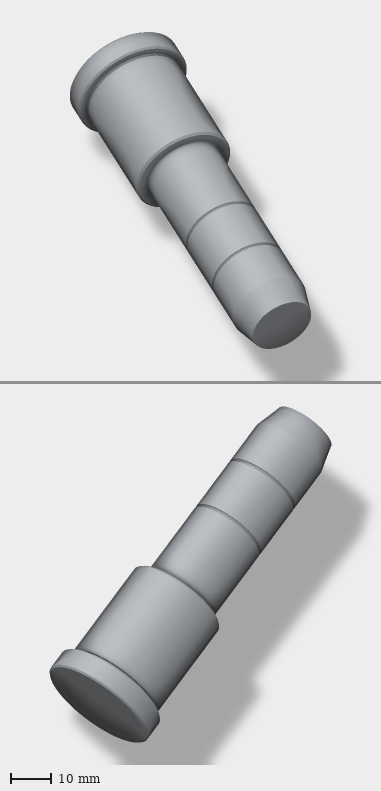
import cadquery as cq

length = 91.0

head_radius = 30.0 / 2
head_length = 6.0
head_chamfer = 0.5

body_radius = 26.0 / 2
body_end = 35.0
body_chamfer = 0.55
relief_width = 0.9
relief_depth = 0.5

shank_radius = 20.0 / 2
shank_root_fillet = 0.5
groove_centers = (57.0, 71.9)
groove_radius = 0.5
taper_start = 84.0
tip_radius = 8.1


def cylinder(start, end, radius):
    """Solid cylinder along X between two positions."""
    return cq.Workplane("YZ", origin=(start, 0, 0)).circle(radius).extrude(end - start)


def make_head():
    return cylinder(0, head_length, head_radius).edges().chamfer(head_chamfer)


def make_body():
    """Body with a chamfered front edge and a concave relief behind the head."""
    relief_end = head_length + relief_width
    relief_radius = body_radius - relief_depth
    relief_arc_radius = (relief_width**2 + relief_depth**2) / (2 * relief_depth)
    return (
        cq.Workplane("XY")
        .moveTo(head_length, 0)
        .lineTo(head_length, body_radius)
        .radiusArc((relief_end, relief_radius), -relief_arc_radius)
        .lineTo(relief_end, body_radius)
        .lineTo(body_end - body_chamfer, body_radius)
        .lineTo(body_end, body_radius - body_chamfer)
        .lineTo(body_end, 0)
        .close()
        .revolve(360, (0, 0, 0), (1, 0, 0))
    )


def make_shank():
    """Shank flaring into the body by a concave fillet and narrowing to the tip."""
    fillet_end = body_end + shank_root_fillet
    profile = (
        cq.Workplane("XY")
        .moveTo(body_end, 0)
        .lineTo(body_end, shank_radius + shank_root_fillet)
        .radiusArc((fillet_end, shank_radius), -shank_root_fillet)
    )
    for center in groove_centers:
        profile = (
            profile.lineTo(center - groove_radius, shank_radius)
            .threePointArc((center, shank_radius - groove_radius), (center + groove_radius, shank_radius))
        )
    return (
        profile.lineTo(taper_start, shank_radius)
        .lineTo(length, tip_radius)
        .lineTo(length, 0)
        .close()
        .revolve(360, (0, 0, 0), (1, 0, 0))
    )


result = make_head().union(make_body()).union(make_shank())